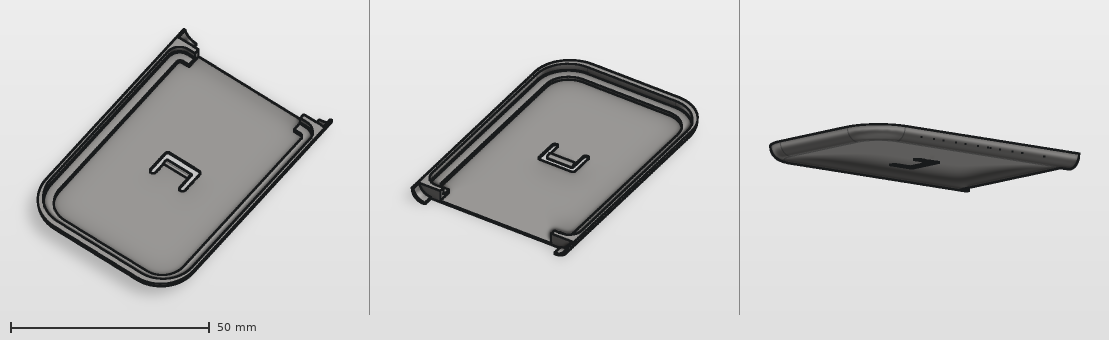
import cadquery as cq
import math

length = 68.05
width = 46.55
height = 3.55
front = -length / 2
back = length / 2

outer_corner_radius = 10.35
bottom_round = 3.5
floor = 0.5

ear_length = 2.8
ear_width = 3.95
ear_top_land = 0.5
plate_back = back - ear_length

rim_side = 0.95
rim_front = 1.8
rim_back = 1.5
step = 0.2
step_height = 0.2
ledge_width = 2.5
ledge_height = 1.4
rim_front_radius = 9.2
rim_back_radius = 3.6
opening_width = 33.1

latch_outer_width = 10.8
latch_tongue_width = 7.6
latch_back = 3.25
latch_front = -4.4
tongue_back = 1.4
latch_corner_radius = 0.75
slot_end_radius = 0.75
ridge_height = 0.35
ridge_back_run = 1.1
ridge_front_run = 0.75
tip_thickness = 0.15


def block(x_size, y_min, y_max, z_min, z_max):
    """Box centred on X, spanning the given Y and Z limits."""
    return (
        cq.Workplane("XY", origin=(0, (y_min + y_max) / 2, z_min))
        .box(x_size, y_max - y_min, z_max - z_min, centered=(True, True, False))
    )


def recess(side, front_gap, back_gap, front_radius, back_radius, z_min):
    """Rounded pocket, open at the top, set in from the plate edges."""
    pocket = block(width - 2 * side, front + front_gap, plate_back - back_gap, z_min, height)
    pocket = pocket.edges("|Z and <Y").fillet(front_radius)
    return pocket.edges("|Z and >Y").fillet(back_radius)


def shell():
    body = block(width, front, back, 0, height)
    body = body.edges("|Z and <Y").fillet(outer_corner_radius)
    return body.edges("<Z").edges("not >Y").fillet(bottom_round)


def ear_clearance():
    """Space between the ears, with a concave arc hollowing each ear."""
    drop = height - floor
    span = ear_width - ear_top_land
    hollow_radius = (span**2 + drop**2) / (2 * drop)
    clearance = block(width - 2 * ear_width, plate_back, back, 0, height)
    for side in (-1, 1):
        hollow = (
            cq.Workplane("XZ", origin=(side * (width / 2 - ear_width), back, floor + hollow_radius))
            .circle(hollow_radius)
            .extrude(ear_length)
        )
        clearance = clearance.union(hollow)
    return clearance


def latch_slot():
    slot = block(latch_outer_width, latch_front, latch_back, 0, floor)
    slot = slot.edges("|Z and >Y").fillet(latch_corner_radius)
    tongue = block(latch_tongue_width, latch_front, tongue_back, 0, floor)
    slot = slot.cut(tongue)
    return slot.edges("|Z and <Y").fillet(slot_end_radius)


def tongue_end():
    """Flat end of the tongue, cleared to make way for the ridge."""
    return block(latch_tongue_width, tongue_back - ridge_back_run, tongue_back, 0, floor)


def crest_arc_point(run, fall):
    """Point at half the run of a circular arc that is level at its crest."""
    radius = (run**2 + fall**2) / (2 * fall)
    half_run = run / 2
    return half_run, radius - math.sqrt(radius**2 - half_run**2)


def latch_ridge():
    """Domed catch across the tongue, falling away to a thin tip."""
    crest_y = tongue_back - ridge_back_run
    crest_z = floor + ridge_height
    ridge_front = crest_y - ridge_front_run
    back_run, back_fall = crest_arc_point(ridge_back_run, crest_z - tip_thickness)
    front_run, front_fall = crest_arc_point(ridge_front_run, ridge_height)
    return (
        cq.Workplane("YZ", origin=(-latch_tongue_width / 2, 0, 0))
        .moveTo(tongue_back, 0)
        .lineTo(tongue_back, tip_thickness)
        .threePointArc((crest_y + back_run, crest_z - back_fall), (crest_y, crest_z))
        .threePointArc((crest_y - front_run, crest_z - front_fall), (ridge_front, floor))
        .lineTo(ridge_front, 0)
        .close()
        .extrude(latch_tongue_width)
    )


result = shell().cut(ear_clearance())

result = result.cut(
    recess(
        rim_side,
        rim_front,
        rim_back,
        rim_front_radius,
        rim_back_radius,
        ledge_height + step_height,
    )
)
result = result.cut(
    recess(
        rim_side + step,
        rim_front,
        rim_back + step,
        rim_front_radius,
        rim_back_radius,
        ledge_height,
    )
)
result = result.cut(
    recess(
        rim_side + step + ledge_width,
        rim_front + ledge_width,
        rim_back + ledge_width,
        rim_front_radius - ledge_width,
        rim_back_radius - ledge_width,
        floor,
    )
)
result = result.cut(block(opening_width, 0, plate_back, floor, height))
result = result.cut(latch_slot()).cut(tongue_end()).union(latch_ridge())